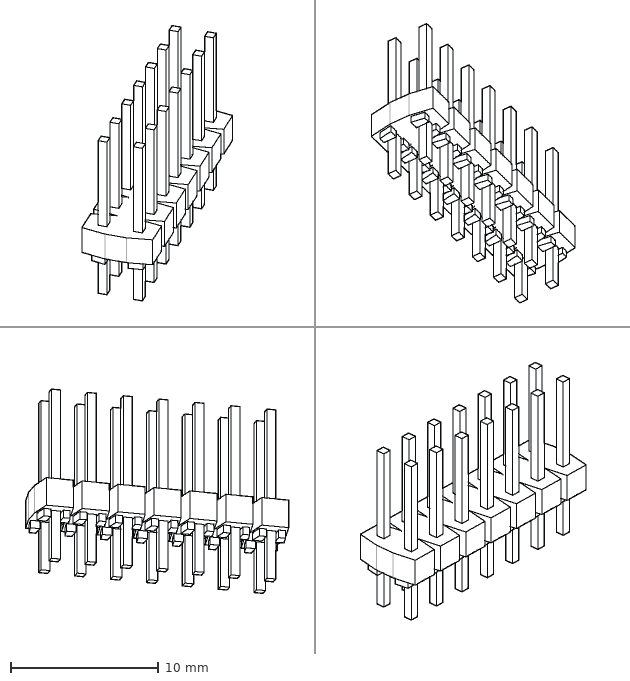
import cadquery as cq
import math

pitch = 2.54
pins_per_row = 7
row_signs = (-1, 1)

pin_width = 0.64
pin_length = 12.15
pin_tail = 2.9

foot_height = 0.54
body_height = 1.98
body_width = len(row_signs) * pitch
end_flat = 1.54
taper_angle = 10.0

foot_inner_x = 0.83
foot_outer_x = 1.85
foot_end_inset = 0.15
foot_pin_side_y = 0.44

taper_slope = math.tan(math.radians(taper_angle))


def end_face_y(x):
    """Distance from a segment's centre line to its tapered end face at x."""
    taper_run = max(0.0, abs(x) - end_flat / 2)
    return pitch / 2 - taper_run * taper_slope


def body_segment():
    """One pitch of the insulator: a rectangle with tapered corners."""
    side_x = body_width / 2
    flat_x = end_flat / 2
    side_y = end_face_y(side_x)
    flat_y = pitch / 2
    outline = [
        (side_x, -side_y),
        (side_x, side_y),
        (flat_x, flat_y),
        (-flat_x, flat_y),
        (-side_x, side_y),
        (-side_x, -side_y),
        (-flat_x, -flat_y),
        (flat_x, -flat_y),
    ]
    return cq.Workplane("XY").workplane(offset=foot_height).polyline(outline).close().extrude(body_height)


def foot(x_sign, y_sign):
    """A foot whose outer end runs parallel to the tapered end of the body."""
    inner_end_y = end_face_y(foot_inner_x) - foot_end_inset
    outer_end_y = end_face_y(foot_outer_x) - foot_end_inset
    outline = [
        (x_sign * foot_inner_x, y_sign * foot_pin_side_y),
        (x_sign * foot_outer_x, y_sign * foot_pin_side_y),
        (x_sign * foot_outer_x, y_sign * outer_end_y),
        (x_sign * foot_inner_x, y_sign * inner_end_y),
    ]
    return cq.Workplane("XY").polyline(outline).close().extrude(foot_height)


def pin(x_sign):
    """A full-length square pin passing through the body."""
    return (
        cq.Workplane("XY")
        .workplane(offset=-pin_tail)
        .center(x_sign * pitch / 2, 0)
        .rect(pin_width, pin_width)
        .extrude(pin_length)
    )


def header_segment():
    """Body segment with its pair of pins and four feet."""
    segment = body_segment()
    for x_sign in row_signs:
        segment = segment.union(pin(x_sign))
        for y_sign in (-1, 1):
            segment = segment.union(foot(x_sign, y_sign))
    return segment


def pin_header():
    """Identical segments joined end to end along Y, centred on the origin."""
    segment = header_segment()
    first_y = -(pins_per_row - 1) * pitch / 2
    header = segment.translate((0, first_y, 0))
    for index in range(1, pins_per_row):
        header = header.union(segment.translate((0, first_y + index * pitch, 0)))
    return header.clean()


result = pin_header()